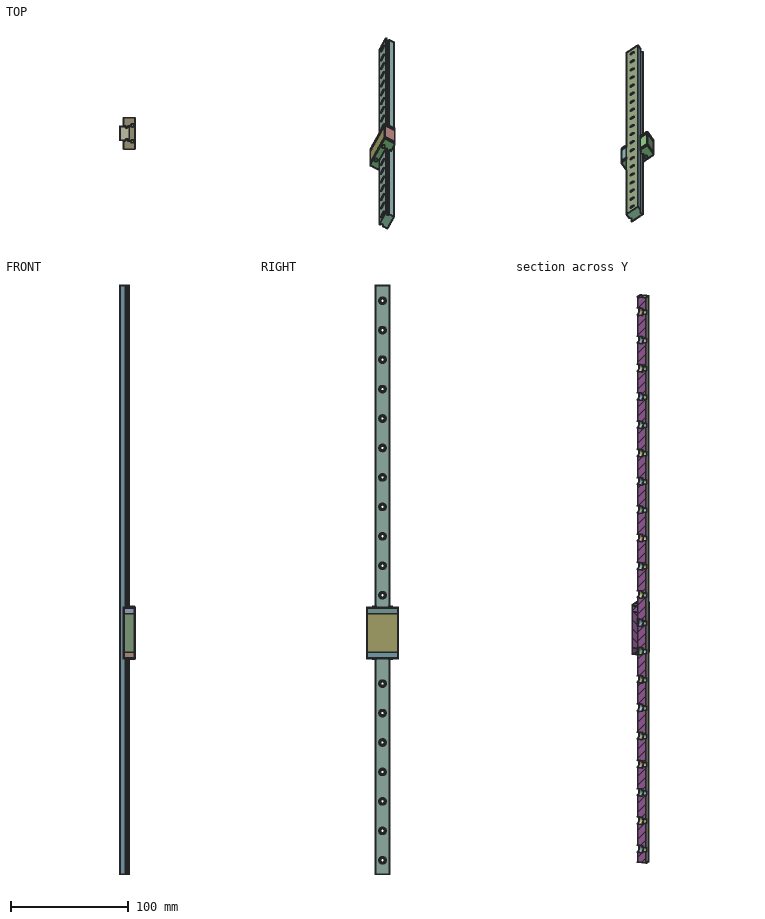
import cadquery as cq

RAIL_LENGTH = 500.0
RAIL_WIDTH = 12.0
RAIL_HEIGHT = 8.0
GROOVE_CENTER = 5.75
GROOVE_DEPTH = 1.25
GROOVE_MOUTH = 2.5
GROOVE_FLOOR = 1.0

HOLE_PITCH = 25.0
HOLE_COUNT = 20
HOLE_ROW_Z = -0.5
HOLE_DIAMETER = 3.5
COUNTERBORE_DIAMETER = 6.0
COUNTERBORE_DEPTH = 4.5

CARRIAGE_Z = -45.0
CARRIAGE_WIDTH = 27.0
CARRIAGE_BOTTOM = 3.0
CARRIAGE_TOP = 13.0
EDGE_CHAMFER = 0.6
RAIL_CLEARANCE = 0.25
BLOCK_LENGTH = 32.5
CAP_THICKNESS = 4.75
SEAL_THICKNESS = 0.75

HEAD_DIAMETER = 2.75
HEAD_HEIGHT = 0.75
HEAD_X = 10.75
HEAD_SPACING = 13.5

CAP_START = BLOCK_LENGTH / 2
SEAL_START = CAP_START + CAP_THICKNESS
HEAD_START = SEAL_START + SEAL_THICKNESS


def rail_outline(clearance):
    """Closed rail cross-section in XY, with its sides moved outward by the clearance."""
    side = RAIL_WIDTH / 2 + clearance
    floor = side - GROOVE_DEPTH
    half = [
        (0, side),
        (GROOVE_CENTER - GROOVE_MOUTH / 2, side),
        (GROOVE_CENTER - GROOVE_FLOOR / 2, floor),
        (GROOVE_CENTER + GROOVE_FLOOR / 2, floor),
        (GROOVE_CENTER + GROOVE_MOUTH / 2, side),
        (RAIL_HEIGHT, side),
    ]
    mirrored = [(x, -y) for x, y in reversed(half)]
    return cq.Workplane("XY").polyline(half + mirrored).close()


def make_rail():
    """Grooved bar with a row of counterbored mounting holes."""
    bar = rail_outline(0).extrude(RAIL_LENGTH).translate((0, 0, -RAIL_LENGTH / 2))
    return (
        bar.faces(">X")
        .workplane(origin=(RAIL_HEIGHT, 0, HOLE_ROW_Z))
        .rarray(5, HOLE_PITCH, 1, HOLE_COUNT)
        .cboreHole(HOLE_DIAMETER, COUNTERBORE_DIAMETER, COUNTERBORE_DEPTH)
    )


def carriage_slice(middle_z, length):
    """Piece of the chamfered carriage profile, with the channel for the rail cut through it."""
    body = (
        cq.Workplane("XY")
        .box(CARRIAGE_TOP - CARRIAGE_BOTTOM, CARRIAGE_WIDTH, length, centered=(False, True, False))
        .edges("|Z")
        .chamfer(EDGE_CHAMFER)
        .translate((CARRIAGE_BOTTOM, 0, 0))
    )
    channel = rail_outline(RAIL_CLEARANCE).extrude(length)
    return body.cut(channel).translate((0, 0, middle_z - length / 2))


def layer_middle(direction, start, thickness):
    """Z of the middle of a layer that lies towards +Z (1) or -Z (-1) from the carriage middle."""
    return CARRIAGE_Z + direction * (start + thickness / 2)


def make_block():
    return carriage_slice(CARRIAGE_Z, BLOCK_LENGTH)


def make_end_cap(direction):
    return carriage_slice(layer_middle(direction, CAP_START, CAP_THICKNESS), CAP_THICKNESS)


def make_end_seal(direction):
    return carriage_slice(layer_middle(direction, SEAL_START, SEAL_THICKNESS), SEAL_THICKNESS)


def make_screw_head(direction, side):
    """Disc on the outer face of one end seal, on one side of the rail."""
    middle_z = layer_middle(direction, HEAD_START, HEAD_HEIGHT)
    return (
        cq.Workplane("XY")
        .cylinder(HEAD_HEIGHT, HEAD_DIAMETER / 2)
        .translate((HEAD_X, side * HEAD_SPACING / 2, middle_z))
    )


bodies = [make_rail(), make_block()]
for end in (-1, 1):
    bodies.append(make_end_cap(end))
    bodies.append(make_end_seal(end))
    for rail_side in (-1, 1):
        bodies.append(make_screw_head(end, rail_side))

result = cq.Compound.makeCompound([body.val() for body in bodies])